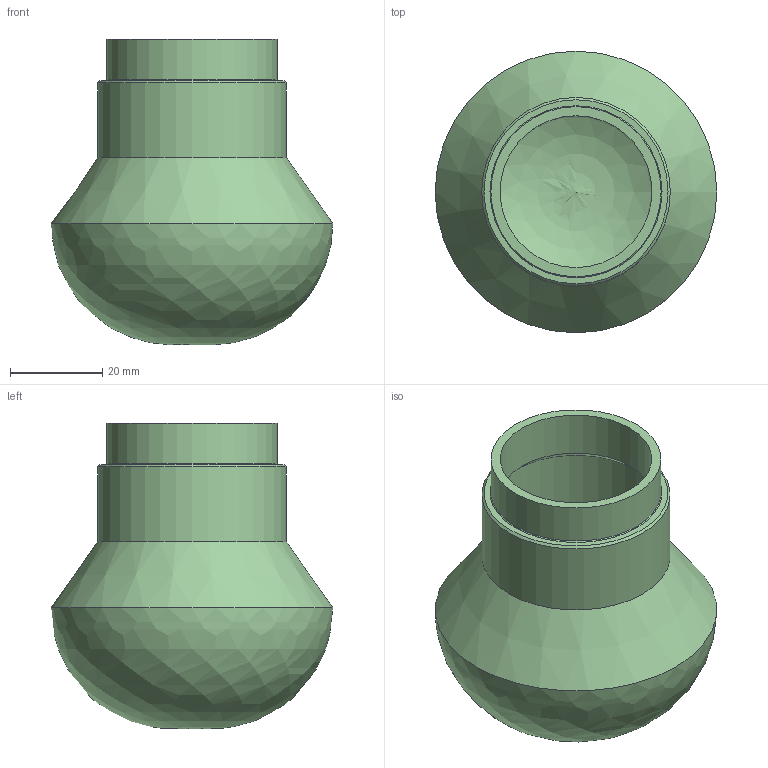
import cadquery as cq
import math

max_diameter = 61.23
total_height = 66.42
wall = 2.0

bowl_height = 26.3
neck_base_z = 40.7
bulb_radius = max_diameter / 2
bowl_arc_offset = bulb_radius - bowl_height

neck_radius = 41.0 / 2
spigot_height = 9.0
shoulder_z = total_height - spigot_height
shoulder_chamfer = 0.5

spigot_radius = 37.0 / 2
bore_radius = 33.0 / 2
spigot_base_flare = 0.2
bore_depth = 10.1
bore_bottom_z = total_height - bore_depth

cavity_neck_radius = neck_radius - wall
cavity_bulb_radius = bulb_radius - wall
lip_height = cavity_neck_radius - bore_radius
cone_half_angle = math.atan2(bulb_radius - neck_radius, neck_base_z - bowl_height)
cavity_neck_base_z = neck_base_z - wall * math.tan(cone_half_angle / 2)
cavity_equator_z = cavity_neck_base_z - (cavity_bulb_radius - cavity_neck_radius) / math.tan(cone_half_angle)


def bowl_pole_z(arc_radius):
    """Height at which a bowl arc of this radius meets the Z axis."""
    return bowl_height - math.sqrt(arc_radius**2 - bowl_arc_offset**2)


def bowl_arc_middle(arc_radius):
    """Point (radius, z) on the bowl arc, 45 degrees below the rim."""
    reach = arc_radius * math.sqrt(0.5)
    return (bowl_arc_offset + reach, bowl_height - reach)


def make_body():
    """Solid outer shape, revolved about Z."""
    profile = (
        cq.Workplane("XZ")
        .moveTo(0, bowl_pole_z(bowl_height))
        .threePointArc(bowl_arc_middle(bowl_height), (bulb_radius, bowl_height))
        .lineTo(neck_radius, neck_base_z)
        .lineTo(neck_radius, shoulder_z - shoulder_chamfer)
        .lineTo(neck_radius - shoulder_chamfer, shoulder_z)
        .lineTo(spigot_radius + spigot_base_flare, shoulder_z)
        .lineTo(spigot_radius, shoulder_z + spigot_base_flare)
        .lineTo(spigot_radius, total_height)
        .lineTo(0, total_height)
        .close()
    )
    return profile.revolve(360, (0, 0, 0), (0, 1, 0))


def make_cavity():
    """Bore, 45 degree lip underside and hollow bulb, revolved about Z."""
    profile = (
        cq.Workplane("XZ")
        .moveTo(0, bowl_pole_z(bowl_height - wall))
        .threePointArc(bowl_arc_middle(bowl_height - wall), (cavity_bulb_radius, bowl_height))
        .lineTo(cavity_bulb_radius, cavity_equator_z)
        .lineTo(cavity_neck_radius, cavity_neck_base_z)
        .lineTo(cavity_neck_radius, bore_bottom_z - lip_height)
        .lineTo(bore_radius, bore_bottom_z)
        .lineTo(bore_radius, total_height)
        .lineTo(0, total_height)
        .close()
    )
    return profile.revolve(360, (0, 0, 0), (0, 1, 0))


result = make_body().cut(make_cavity())